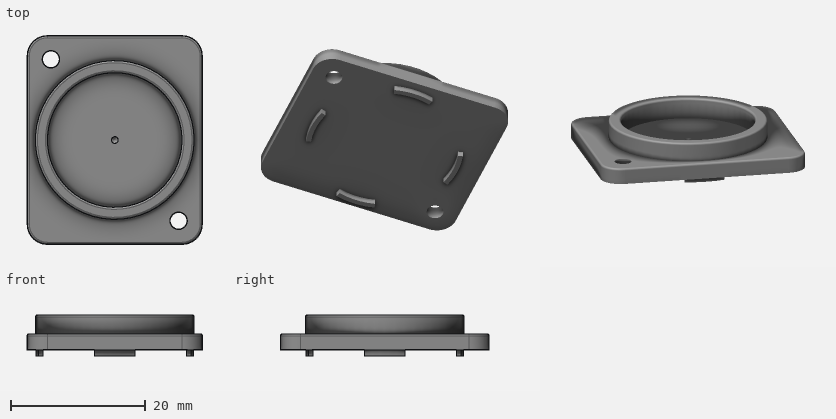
import cadquery as cq

plate_width = 26.0
plate_length = 31.0
plate_thickness = 2.4
corner_radius = 3.0
plate_edge_radius = 0.3

ring_diameter = 23.6
ring_height = 2.8
ring_edge_radius = 0.3
recess_diameter = 20.0
floor_height = 2.1
ring_top = plate_thickness + ring_height

hole_diameter = 2.5
hole_x = 9.5
hole_y = 12.0

dimple_diameter = 1.0
dimple_depth = 0.3

foot_count = 4
foot_height = 0.93
foot_angle = 30
foot_outer_diameter = 23.5
foot_inner_diameter = 22.0


def make_plate():
    """Plate with rounded corners and a rounded upper edge."""
    plate = cq.Workplane("XY").rect(plate_width, plate_length).extrude(plate_thickness)
    plate = plate.edges("|Z").fillet(corner_radius)
    return plate.faces(">Z").edges().fillet(plate_edge_radius)


def add_recessed_ring(body):
    """Add a round boss, sink the recess into it and round both rim edges."""
    boss = cq.Workplane("XY").circle(ring_diameter / 2).extrude(ring_top)
    recess = (
        cq.Workplane("XY")
        .workplane(offset=floor_height)
        .circle(recess_diameter / 2)
        .extrude(ring_top - floor_height)
    )
    body = body.union(boss).cut(recess)
    return body.faces(">Z").edges().fillet(ring_edge_radius)


def make_foot():
    """Arc-shaped foot with radial end faces, centred on the +X axis."""
    inner_radius = foot_inner_diameter / 2
    outer_radius = foot_outer_diameter / 2
    sector = (
        cq.Workplane("XZ")
        .moveTo(inner_radius, 0)
        .lineTo(outer_radius, 0)
        .lineTo(outer_radius, -foot_height)
        .lineTo(inner_radius, -foot_height)
        .close()
        .revolve(foot_angle, (0, 0), (0, 1))
    )
    return sector.rotate((0, 0, 0), (0, 0, 1), -foot_angle / 2)


def make_mounting_holes():
    """Cylinders for the two through holes."""
    return (
        cq.Workplane("XY")
        .pushPoints([(-hole_x, hole_y), (hole_x, -hole_y)])
        .circle(hole_diameter / 2)
        .extrude(plate_thickness)
    )


def make_dimple():
    """Cone that points down from the recess floor."""
    floor_centre = cq.Vector(0, 0, floor_height)
    down = cq.Vector(0, 0, -1)
    return cq.Workplane(cq.Solid.makeCone(dimple_diameter / 2, 0, dimple_depth, floor_centre, down))


result = add_recessed_ring(make_plate())
for index in range(foot_count):
    turn = index * 360 / foot_count
    result = result.union(make_foot().rotate((0, 0, 0), (0, 0, 1), turn))
result = result.cut(make_mounting_holes()).cut(make_dimple())